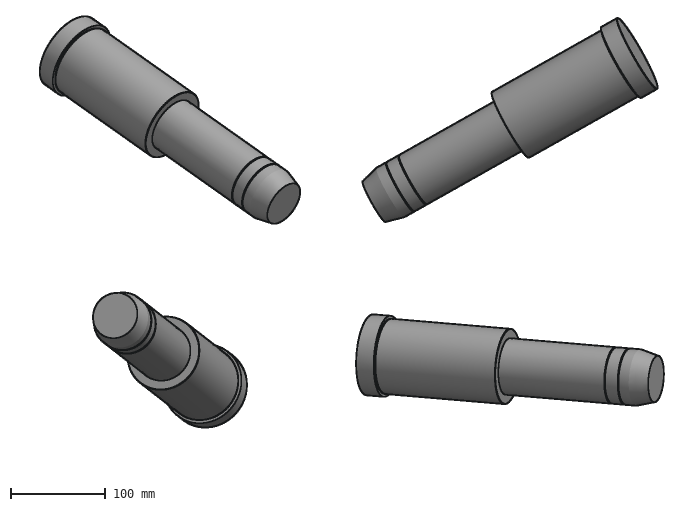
import cadquery as cq
import math

overall_length = 321
flange_diameter = 86.0
flange_length = 20.0
body_diameter = 80.0
body_end = 155.0
shaft_diameter = 60.0

edge_chamfer = 0.48

tip_length = 20.0
tip_angle = 15

groove_width = 1.0
groove_depth = 0.3
shaft_groove_starts = (273.5, 288.5)

flange_radius = flange_diameter / 2
body_radius = body_diameter / 2
shaft_radius = shaft_diameter / 2
tip_end_radius = shaft_radius - tip_length * math.tan(math.radians(tip_angle))


def make_pin():
    """Revolve the stepped half outline about the X axis."""
    return (
        cq.Workplane("XY")
        .moveTo(0, 0)
        .lineTo(0, flange_radius - edge_chamfer)
        .lineTo(edge_chamfer, flange_radius)
        .lineTo(flange_length, flange_radius)
        .lineTo(flange_length, body_radius)
        .lineTo(body_end - edge_chamfer, body_radius)
        .lineTo(body_end, body_radius - edge_chamfer)
        .lineTo(body_end, shaft_radius)
        .lineTo(overall_length - tip_length, shaft_radius)
        .lineTo(overall_length, tip_end_radius)
        .lineTo(overall_length, 0)
        .close()
        .revolve(360, (0, 0, 0), (1, 0, 0))
    )


def make_groove_cutter(start, surface_radius):
    """Ring that cuts one narrow groove into a round surface."""
    return (
        cq.Workplane("YZ", origin=(start, 0, 0))
        .circle(surface_radius + groove_depth)
        .circle(surface_radius - groove_depth)
        .extrude(groove_width)
    )


result = make_pin()
result = result.cut(make_groove_cutter(flange_length, body_radius))
for groove_start in shaft_groove_starts:
    result = result.cut(make_groove_cutter(groove_start, shaft_radius))